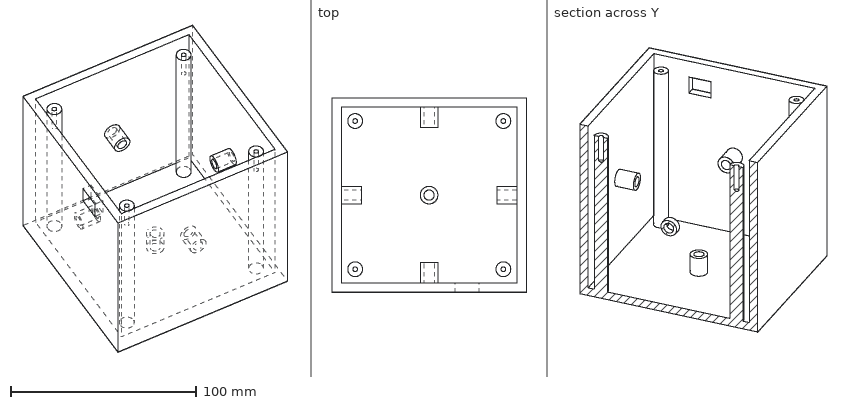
import cadquery as cq
import math

side = 105.0
wall = 5.0
floor = 5.0
cavity = side - 2 * wall

pillar_diameter = 8.0
pillar_hole_diameter = 2.52
pillar_hole_depth = 15.0
pillar_hole_tip_angle = 118.0
pillar_pitch = 80.0
pillar_top_gap = 5.0
pillar_top = side - pillar_top_gap

boss_diameter = 9.5
boss_bore_diameter = 5.5
boss_length = 11.0
boss_height = side / 2
floor_boss_offset_x = -0.1

window_width = 13.0
window_height = 9.9
window_center_x = 20.4
window_center_z = 90.2


def make_box():
    """Open-topped square box standing on Z = 0."""
    outer = cq.Workplane("XY").box(side, side, side, centered=(True, True, False))
    inner = (
        cq.Workplane("XY")
        .workplane(offset=floor)
        .rect(cavity, cavity)
        .extrude(side - floor)
    )
    return outer.cut(inner)


def make_screw_hole():
    """Cutter for one blind hole with a drill-point bottom, its mouth at the origin."""
    radius = pillar_hole_diameter / 2
    tip_length = radius / math.tan(math.radians(pillar_hole_tip_angle / 2))
    half_profile = (
        cq.Workplane("XZ")
        .lineTo(radius, 0)
        .lineTo(radius, -pillar_hole_depth)
        .lineTo(0, -pillar_hole_depth - tip_length)
        .close()
    )
    return half_profile.revolve(360, (0, 0, 0), (0, 1, 0))


def make_pillars():
    """Four round pillars standing on the bottom of the box, drilled from the top."""
    pillar = cq.Workplane("XY").circle(pillar_diameter / 2).extrude(pillar_top)
    pillar = pillar.cut(make_screw_hole().translate((0, 0, pillar_top)))
    corners = cq.Workplane("XY").rect(pillar_pitch, pillar_pitch, forConstruction=True).vertices()
    return corners.eachpoint(lambda location: pillar.val().moved(location))


def make_boss(base, direction):
    """Tube standing on an inner face of the box, pointing into the cavity."""
    plane = cq.Plane(origin=base, normal=direction)
    return (
        cq.Workplane(plane)
        .circle(boss_diameter / 2)
        .circle(boss_bore_diameter / 2)
        .extrude(boss_length)
    )


def make_window():
    """Cutter for the rectangular opening through the front wall."""
    front_wall_center_y = -(side - wall) / 2
    block = cq.Workplane("XY").box(window_width, wall, window_height)
    return block.translate((window_center_x, front_wall_center_y, window_center_z))


result = make_box().union(make_pillars())
result = result.union(make_boss((floor_boss_offset_x, 0, floor), (0, 0, 1)))
for toward_x, toward_y in ((1, 0), (-1, 0), (0, 1), (0, -1)):
    base = (toward_x * cavity / 2, toward_y * cavity / 2, boss_height)
    result = result.union(make_boss(base, (-toward_x, -toward_y, 0)))
result = result.cut(make_window())